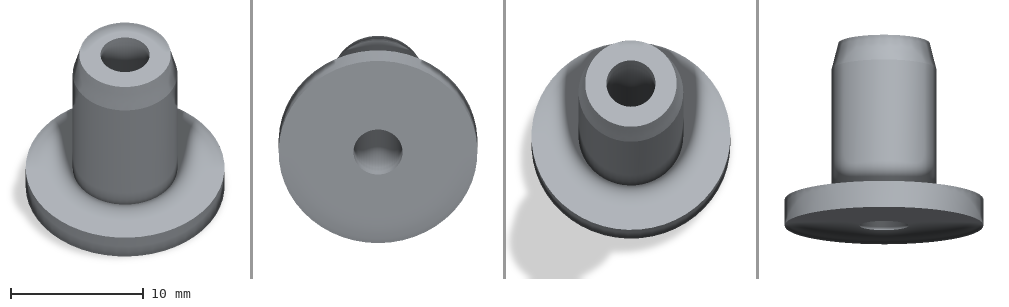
import cadquery as cq

flange_diameter = 15.0
flange_thickness = 2.0
total_height = 14.0
sleeve_diameter = 7.9
tip_diameter = 6.9
taper_height = 2.0
bore_diameter = 3.7

flange_radius = flange_diameter / 2
sleeve_radius = sleeve_diameter / 2
tip_radius = tip_diameter / 2
bore_radius = bore_diameter / 2
taper_start = total_height - taper_height

half_section = (
    cq.Workplane("XZ")
    .moveTo(bore_radius, 0)
    .lineTo(flange_radius, 0)
    .lineTo(flange_radius, flange_thickness)
    .lineTo(sleeve_radius, flange_thickness)
    .lineTo(sleeve_radius, taper_start)
    .lineTo(tip_radius, total_height)
    .lineTo(bore_radius, total_height)
    .close()
)

result = half_section.revolve(360, (0, 0, 0), (0, 1, 0))